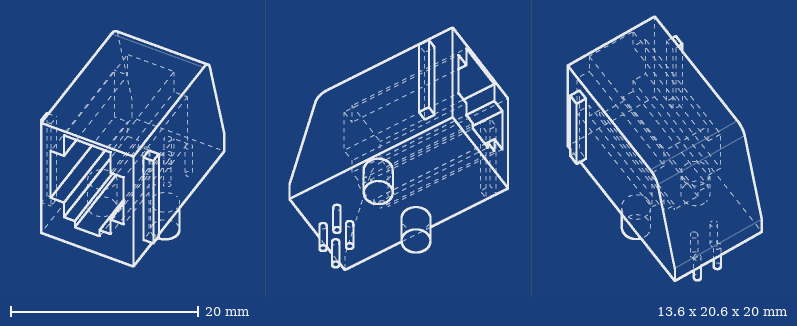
import cadquery as cq

body_width = 11.2
body_depth = 20.57
body_height = 16.02
back_wall_height = 2.55
back_top_depth = 17.01
back_edge_radius = 1.46

overall_width = 13.58
rib_front = 2.26
rib_thickness = 1.25
rib_bottom = 2.05
rib_top = 14.05

cavity_depth = 14.4
channel_width = 5.64
channel_bottom = 3.52
channel_top = 15.43
cavity_openings = [
    (8.85, 5.64, 12.45),
    (channel_width, channel_bottom, channel_top),
    (3.0, 2.63, channel_bottom),
]

leg_length = 3.97
post_diameter = 3.1
post_spacing = 7.61
post_depth = 10.5
pin_diameter = 0.8
pin_pitch = 1.28
pin_count = 4
pin_row_depths = [16.87, 19.42]


def block(width, front, depth, bottom, top):
    """Box centred on X, running back from the given front position."""
    return cq.Workplane("XY").box(
        width, depth, top - bottom, centered=(True, False, False)
    ).translate((0, front, bottom))


def leg(x, y, diameter):
    """Round leg hanging from the underside of the housing."""
    return cq.Workplane("XY").center(x, y).circle(diameter / 2).extrude(-leg_length)


housing = (
    cq.Workplane("YZ")
    .polyline([
        (0, 0),
        (body_depth, 0),
        (body_depth, back_wall_height),
        (back_top_depth, body_height),
        (0, body_height),
    ])
    .close()
    .extrude(body_width / 2, both=True)
    .edges("|X and >Z")
    .edges(">Y")
    .fillet(back_edge_radius)
)

result = housing.union(block(overall_width, rib_front, rib_thickness, rib_bottom, rib_top))

for width, bottom, top in cavity_openings:
    result = result.cut(block(width, 0, cavity_depth, bottom, top))

for side in (-1, 1):
    result = result.union(leg(side * post_spacing / 2, post_depth, post_diameter))

for index in range(pin_count):
    x = (index - (pin_count - 1) / 2) * pin_pitch
    y = pin_row_depths[index % len(pin_row_depths)]
    result = result.union(leg(x, y, pin_diameter))